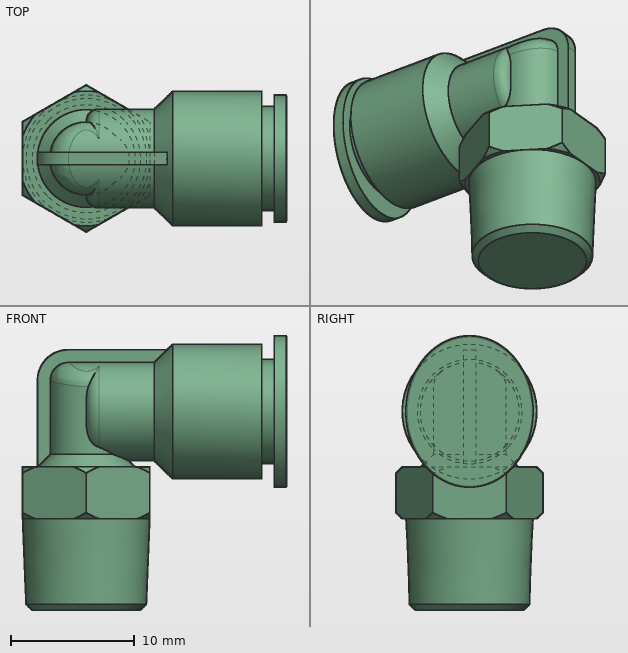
import cadquery as cq
import math


thread_length = 7.4
thread_top_diameter = 10.3
thread_tip_diameter = 9.75
thread_chamfer = 0.5
hex_sides = 6
hex_across_flats = 10.3
hex_height = 4.2
hex_chamfer = 0.5

neck_radius = 2.95
neck_flare = 1.0
neck_top_fillet = 1.5

socket_axis_above_hex = 4.48
arm_radius = 4.0
arm_end_fillet = 1.0
socket_diameter = 10.9
cone_start_x = 5.5
cone_end_x = 7.0
socket_end_x = 14.2
sleeve_diameter = 8.45
sleeve_length = 1.0

collar_width = 10.3
collar_height = 12.26
collar_thickness = 1.0
collar_edge_fillet = 0.1

rib_thickness = 1.0
rib_height = 1.0

hex_top_z = thread_length + hex_height
hex_corner_diameter = hex_across_flats / math.cos(math.pi / hex_sides)
socket_axis_z = hex_top_z + socket_axis_above_hex
collar_start_x = socket_end_x + sleeve_length


def revolve_about_z(points):
    """Solid of revolution from (radius, z) points."""
    return cq.Workplane("XZ").polyline(points).close().revolve(360, (0, 0), (0, 1))


def cylinder_along_x(radius, start_x, end_x):
    """Cylinder on the socket axis between two X positions."""
    plane = cq.Workplane("YZ", origin=(start_x, 0, socket_axis_z))
    return plane.circle(radius).extrude(end_x - start_x)


def make_thread():
    tip_radius = thread_tip_diameter / 2
    return revolve_about_z([
        (0, 0),
        (tip_radius - thread_chamfer, 0),
        (tip_radius, thread_chamfer),
        (thread_top_diameter / 2, thread_length),
        (0, thread_length),
    ])


def make_hexagon():
    """Hexagon with corners on the Y axis, its corners turned down to a cone at both ends."""
    prism = (
        cq.Workplane("XY", origin=(0, 0, thread_length))
        .polygon(hex_sides, hex_corner_diameter)
        .extrude(hex_height)
        .rotate((0, 0, 0), (0, 0, 1), 90)
    )
    corner_radius = hex_corner_diameter / 2
    face_radius = corner_radius - hex_chamfer
    turned_blank = revolve_about_z([
        (0, thread_length),
        (face_radius, thread_length),
        (corner_radius, thread_length + hex_chamfer),
        (corner_radius, hex_top_z - hex_chamfer),
        (face_radius, hex_top_z),
        (0, hex_top_z),
    ])
    return prism.intersect(turned_blank)


def make_neck():
    """Vertical neck, topped by the arm's cylinder and rounded along that edge."""
    post = (
        cq.Workplane("XY", origin=(0, 0, socket_axis_z))
        .circle(neck_radius)
        .extrude(arm_radius)
    )
    cap = cylinder_along_x(arm_radius, -arm_radius, arm_radius)
    rounded_top = post.intersect(cap).edges(">Z").fillet(neck_top_fillet)
    exposed_side = cylinder_along_x(2 * arm_radius, -arm_radius, arm_end_fillet)
    rounded_top = rounded_top.intersect(exposed_side)
    flared_base = revolve_about_z([
        (0, hex_top_z),
        (neck_radius + neck_flare, hex_top_z),
        (neck_radius, hex_top_z + neck_flare),
        (neck_radius, socket_axis_z),
        (0, socket_axis_z),
    ])
    return flared_base.union(rounded_top)


def make_socket():
    """Arm with a rounded end, cone and socket body, followed by the thinner sleeve."""
    socket_radius = socket_diameter / 2
    profile = (
        cq.Workplane("XZ", origin=(0, 0, socket_axis_z))
        .moveTo(0, 0)
        .lineTo(0, -(arm_radius - arm_end_fillet))
        .radiusArc((arm_end_fillet, -arm_radius), -arm_end_fillet)
        .lineTo(cone_start_x, -arm_radius)
        .lineTo(cone_end_x, -socket_radius)
        .lineTo(socket_end_x, -socket_radius)
        .lineTo(socket_end_x, 0)
        .close()
    )
    body = profile.revolve(360, (0, 0), (1, 0))
    return body.union(cylinder_along_x(sleeve_diameter / 2, socket_end_x, collar_start_x))


def make_collar():
    plane = cq.Workplane("YZ", origin=(collar_start_x, 0, socket_axis_z))
    disc = plane.ellipse(collar_width / 2, collar_height / 2).extrude(collar_thickness)
    return disc.faces(">X").edges().fillet(collar_edge_fillet)


def make_rib():
    """L-shaped rib that follows the back of the neck and the top of the arm."""
    back_x = -(neck_radius + rib_height)
    top_z = socket_axis_z + arm_radius + rib_height
    bend_radius = neck_top_fillet + rib_height
    return (
        cq.Workplane("XZ")
        .moveTo(0, hex_top_z)
        .lineTo(back_x, hex_top_z)
        .lineTo(back_x, top_z - bend_radius)
        .radiusArc((back_x + bend_radius, top_z), bend_radius)
        .lineTo(cone_end_x, top_z)
        .lineTo(cone_end_x, socket_axis_z)
        .lineTo(0, socket_axis_z)
        .close()
        .extrude(rib_thickness / 2, both=True)
    )


result = (
    make_thread()
    .union(make_hexagon())
    .union(make_neck())
    .union(make_socket())
    .union(make_collar())
    .union(make_rib())
)